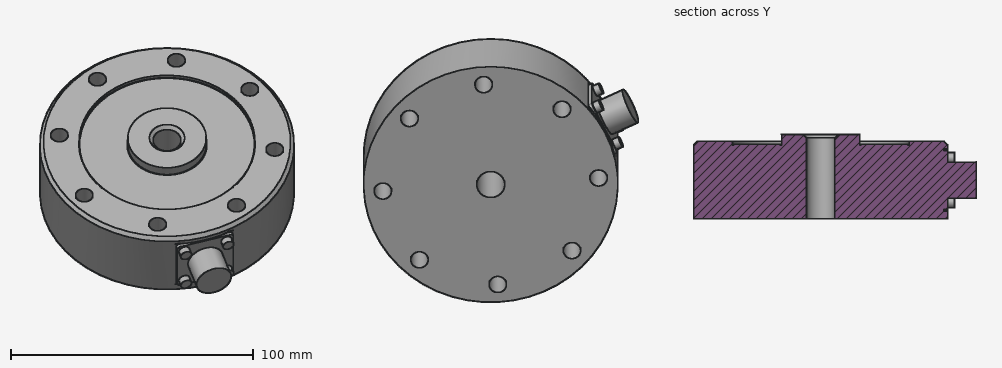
import cadquery as cq

body_diameter = 104.648
body_height = 32.004
rim_diameter = 101.6
rim_chamfer = (body_diameter - rim_diameter) / 2

recess_diameter = 72.52
recess_depth = 1.27
boss_diameter = 32.26
total_height = 34.8

diaphragm_outer_diameter = 71.88
diaphragm_inner_diameter = 32.89
groove_depth = 0.254

bore_diameter = 11.51
bore_mouth_diameter = 14.48
bore_chamfer = (bore_mouth_diameter - bore_diameter) / 2

bolt_count = 8
bolt_hole_diameter = 7.14
bolt_circle_diameter = 88.9

seat_x = 50.8
seat_height = 25.4
connector_z = body_height / 2

flange_size = 24.3
flange_corner_radius = 1.52
flange_face_x = body_diameter / 2
barrel_diameter = 14.99
barrel_end_x = 64.055
screw_head_diameter = 4.65
screw_head_height = 2.794
screw_spacing = 18.2


def make_ring(outer_diameter, inner_diameter, base_z, height):
    """Flat ring about the Z axis, rising from base_z."""
    return (
        cq.Workplane("XY", origin=(0, 0, base_z))
        .circle(outer_diameter / 2)
        .circle(inner_diameter / 2)
        .extrude(height)
    )


def make_body():
    """Round body with a chamfered rim, a sunken top, a raised boss and a central bore."""
    body = cq.Workplane("XY").circle(body_diameter / 2).extrude(body_height)
    body = body.faces(">Z").chamfer(rim_chamfer)

    floor_z = body_height - recess_depth
    boss = cq.Workplane("XY").circle(boss_diameter / 2).extrude(total_height)
    recess = make_ring(recess_diameter, boss_diameter, floor_z, recess_depth)
    groove_z = floor_z - groove_depth
    outer_groove = make_ring(recess_diameter, diaphragm_outer_diameter, groove_z, groove_depth)
    inner_groove = make_ring(diaphragm_inner_diameter, boss_diameter, groove_z, groove_depth)
    body = body.union(boss).cut(recess).cut(outer_groove).cut(inner_groove)

    bore = cq.Workplane("XY").circle(bore_diameter / 2).extrude(total_height)
    mouth = cq.Workplane("XY").add(
        cq.Solid.makeCone(
            bore_diameter / 2,
            bore_mouth_diameter / 2,
            bore_chamfer,
            pnt=cq.Vector(0, 0, total_height - bore_chamfer),
        )
    )
    return body.cut(bore).cut(mouth)


def make_bolt_holes():
    """Mounting holes through the full body height."""
    half_step = 180 / bolt_count
    return (
        cq.Workplane("XY")
        .polarArray(bolt_circle_diameter / 2, half_step, 360, bolt_count)
        .circle(bolt_hole_diameter / 2)
        .extrude(body_height)
    )


def make_seat_cut():
    """Block removed from the +X side, leaving a flat seat open at both ends."""
    return cq.Workplane("XY", origin=(seat_x, 0, connector_z)).box(
        body_diameter, body_diameter, seat_height, centered=(False, True, True)
    )


def make_connector():
    """Square flange, four screw heads and a round barrel pointing along +X."""
    flange = (
        cq.Workplane("YZ", origin=(seat_x, 0, connector_z))
        .rect(flange_size, flange_size)
        .extrude(flange_face_x - seat_x)
        .edges("|X")
        .fillet(flange_corner_radius)
    )
    face = cq.Workplane("YZ", origin=(flange_face_x, 0, connector_z))
    barrel = face.circle(barrel_diameter / 2).extrude(barrel_end_x - flange_face_x)
    screw_heads = (
        face.rect(screw_spacing, screw_spacing, forConstruction=True)
        .vertices()
        .circle(screw_head_diameter / 2)
        .extrude(screw_head_height)
    )
    return flange.union(barrel).union(screw_heads)


result = make_body().cut(make_bolt_holes()).cut(make_seat_cut()).union(make_connector())